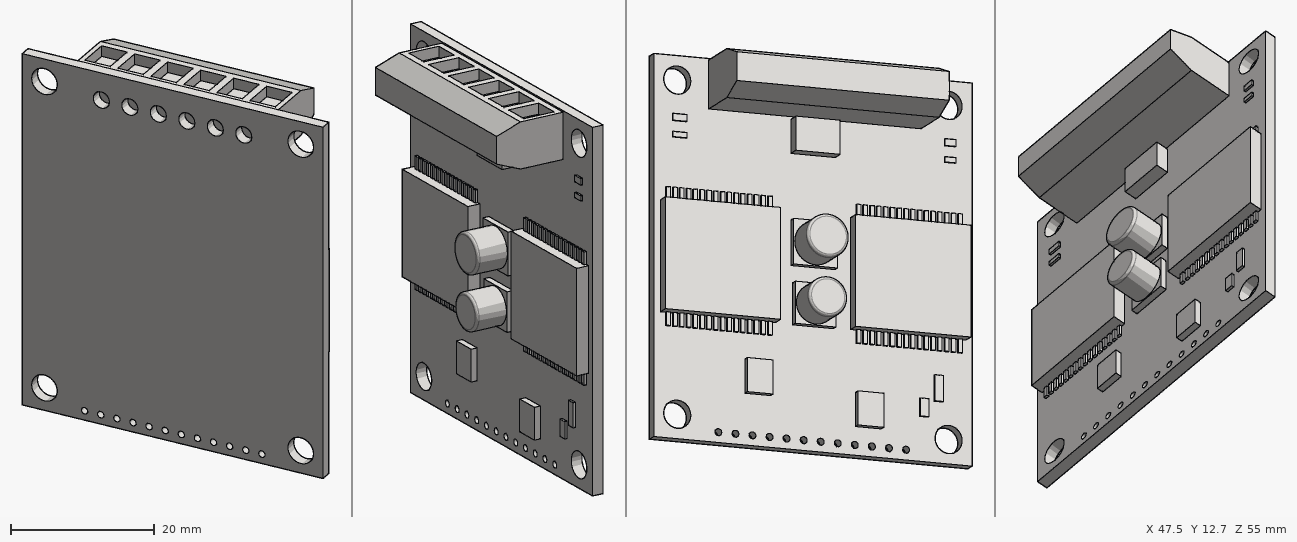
import cadquery as cq


BOARD_WIDTH = 47.5
BOARD_HEIGHT = 55.0
BOARD_THICKNESS = 1.75

MOUNT_HOLE_DIAMETER = 4.0
MOUNT_HOLE_X = 20.25
MOUNT_HOLE_Z = 24.0
SCREW_PIN_COUNT = 6
SCREW_PIN_DIAMETER = 2.55
SCREW_PIN_ROW = 22.5
SCREW_PIN_Z = 23.25
HEADER_COUNT = 12
HEADER_DIAMETER = 1.0
HEADER_ROW = 28.0
HEADER_CENTER_X = 0.1
HEADER_Z = -26.0

TOTAL_DEPTH = 12.7
TERMINAL_WIDTH = 31.7
TERMINAL_CENTER_X = -0.3
TERMINAL_HEIGHT = 7.05
TERMINAL_TOP_GAP = 0.2
TERMINAL_TOP = BOARD_HEIGHT / 2 - TERMINAL_TOP_GAP
TERMINAL_BOTTOM = TERMINAL_TOP - TERMINAL_HEIGHT
TAPER_DEPTH = 3.9
TAPER_TOP_DROP = 1.4
TAPER_BOTTOM_RISE = 1.55
WIRE_POCKET_WIDTH = 4.0
WIRE_POCKET_DEPTH = 1.65
WIRE_POCKET_THICKNESS = 4.95
WIRE_POCKET_ROW = 26.05
WIRE_POCKET_LIFT = 1.0

CHIP_WIDTH = 17.15
CHIP_LENGTH = 16.05
CHIP_THICKNESS = 2.0
CHIP_OUTER_X = 22.75
CHIP_CENTER_Z = -1.5
LEAD_COUNT = 16
LEAD_WIDTH = 0.6
LEAD_SPAN = 19.9
LEAD_THICKNESS = 0.4
LEAD_LEFT_MARGIN = 0.6
LEAD_RIGHT_MARGIN = 0.75

CAPACITOR_HEIGHT = 5.9
CAPACITOR_ROUNDING = 0.4
LARGE_CAPACITOR_DIAMETER = 6.2
LARGE_CAPACITOR_Z = 2.15
SMALL_CAPACITOR_DIAMETER = 5.7
SMALL_CAPACITOR_Z = -6.6
FOOT_MARGIN = 0.15
FOOT_THICKNESS = 1.0

REGULATOR_WIDTH = 6.6
REGULATOR_BOTTOM = 14.95
REGULATOR_TOP = 19.85
RESISTOR_THICKNESS = 0.3
LEFT_RESISTOR_X = -20.4
LEFT_RESISTOR_WIDTH = 1.6
RIGHT_RESISTOR_X = 19.95
RIGHT_RESISTOR_WIDTH = 2.05
RESISTOR_ROWS = [(15.75, 16.5), (18.1, 19.1)]

LOGIC_CHIP_WIDTH = 3.85
LOGIC_CHIP_LENGTH = 4.9
LOGIC_CHIP_THICKNESS = 1.0
LEFT_LOGIC_X = -8.25
LEFT_LOGIC_BOTTOM = -23.4
RIGHT_LOGIC_X = 8.25
RIGHT_LOGIC_BOTTOM = -20.1
STRIP_WIDTH = 1.25
STRIP_THICKNESS = 0.4
OUTER_STRIP_X = -18.7
OUTER_STRIP_BOTTOM = -18.7
OUTER_STRIP_TOP = -14.95
INNER_STRIP_X = -16.5
INNER_STRIP_BOTTOM = -21.05
INNER_STRIP_TOP = -18.5


def row_positions(count, length, center):
    """X positions of evenly spaced items, first to last spanning the length."""
    pitch = length / (count - 1)
    return [center - length / 2 + i * pitch for i in range(count)]


def block(center_x, width, bottom, top, thickness):
    """Box standing on the component side of the board."""
    return (
        cq.Workplane("XY")
        .box(width, thickness, top - bottom, centered=(True, False, False))
        .translate((center_x, BOARD_THICKNESS, bottom))
    )


def board_holes(points, diameter):
    """Cylinders through the board thickness at (x, z) points."""
    return (
        cq.Workplane("XZ")
        .pushPoints(points)
        .circle(diameter / 2)
        .extrude(-BOARD_THICKNESS)
    )


def make_board():
    board = cq.Workplane("XY").box(
        BOARD_WIDTH, BOARD_THICKNESS, BOARD_HEIGHT, centered=(True, False, True)
    )
    mounts = [(x, z) for x in (-MOUNT_HOLE_X, MOUNT_HOLE_X) for z in (-MOUNT_HOLE_Z, MOUNT_HOLE_Z)]
    screw_pins = [(x, SCREW_PIN_Z) for x in row_positions(SCREW_PIN_COUNT, SCREW_PIN_ROW, 0)]
    header = [(x, HEADER_Z) for x in row_positions(HEADER_COUNT, HEADER_ROW, HEADER_CENTER_X)]
    board = board.cut(board_holes(mounts, MOUNT_HOLE_DIAMETER))
    board = board.cut(board_holes(screw_pins, SCREW_PIN_DIAMETER))
    return board.cut(board_holes(header, HEADER_DIAMETER))


def make_terminal():
    """Tapered block with one open-topped wire pocket per screw."""
    taper_start = TOTAL_DEPTH - TAPER_DEPTH
    profile = [
        (BOARD_THICKNESS, TERMINAL_BOTTOM),
        (taper_start, TERMINAL_BOTTOM),
        (TOTAL_DEPTH, TERMINAL_BOTTOM + TAPER_BOTTOM_RISE),
        (TOTAL_DEPTH, TERMINAL_TOP - TAPER_TOP_DROP),
        (taper_start, TERMINAL_TOP),
        (BOARD_THICKNESS, TERMINAL_TOP),
    ]
    body = (
        cq.Workplane("YZ")
        .polyline(profile)
        .close()
        .extrude(TERMINAL_WIDTH / 2, both=True)
        .translate((TERMINAL_CENTER_X, 0, 0))
    )
    pocket_y = BOARD_THICKNESS + WIRE_POCKET_LIFT + WIRE_POCKET_THICKNESS / 2
    pocket_xs = row_positions(SCREW_PIN_COUNT, WIRE_POCKET_ROW, TERMINAL_CENTER_X)
    pockets = (
        cq.Workplane("XY", origin=(0, 0, TERMINAL_TOP))
        .pushPoints([(x, pocket_y) for x in pocket_xs])
        .rect(WIRE_POCKET_WIDTH, WIRE_POCKET_THICKNESS)
        .extrude(-WIRE_POCKET_DEPTH)
    )
    return body.cut(pockets)


def make_driver_chip(center_x):
    """Chip body crossed by lead strips that show above and below it."""
    half_length = CHIP_LENGTH / 2
    half_span = LEAD_SPAN / 2
    chip = block(
        center_x, CHIP_WIDTH, CHIP_CENTER_Z - half_length, CHIP_CENTER_Z + half_length, CHIP_THICKNESS
    )
    lead_row = CHIP_WIDTH - LEAD_LEFT_MARGIN - LEAD_RIGHT_MARGIN - LEAD_WIDTH
    row_center = center_x + (LEAD_LEFT_MARGIN - LEAD_RIGHT_MARGIN) / 2
    for x in row_positions(LEAD_COUNT, lead_row, row_center):
        lead = block(x, LEAD_WIDTH, CHIP_CENTER_Z - half_span, CHIP_CENTER_Z + half_span, LEAD_THICKNESS)
        chip = chip.union(lead)
    return chip


def make_capacitor(diameter, center_z):
    """Round can with a softened end, on a square foot."""
    half_foot = diameter / 2 + FOOT_MARGIN
    foot = block(0, 2 * half_foot, center_z - half_foot, center_z + half_foot, FOOT_THICKNESS)
    can = (
        cq.Workplane("XZ", origin=(0, BOARD_THICKNESS, center_z))
        .circle(diameter / 2)
        .extrude(-CAPACITOR_HEIGHT)
        .faces(">Y")
        .edges()
        .fillet(CAPACITOR_ROUNDING)
    )
    return foot.union(can)


def make_small_parts():
    """Regulator, resistors, logic chips and flat strips, all plain blocks."""
    parts = [block(0, REGULATOR_WIDTH, REGULATOR_BOTTOM, REGULATOR_TOP, CHIP_THICKNESS)]
    for bottom, top in RESISTOR_ROWS:
        parts.append(block(LEFT_RESISTOR_X, LEFT_RESISTOR_WIDTH, bottom, top, RESISTOR_THICKNESS))
        parts.append(block(RIGHT_RESISTOR_X, RIGHT_RESISTOR_WIDTH, bottom, top, RESISTOR_THICKNESS))
    for x, bottom in ((LEFT_LOGIC_X, LEFT_LOGIC_BOTTOM), (RIGHT_LOGIC_X, RIGHT_LOGIC_BOTTOM)):
        parts.append(block(x, LOGIC_CHIP_WIDTH, bottom, bottom + LOGIC_CHIP_LENGTH, LOGIC_CHIP_THICKNESS))
    parts.append(block(OUTER_STRIP_X, STRIP_WIDTH, OUTER_STRIP_BOTTOM, OUTER_STRIP_TOP, STRIP_THICKNESS))
    parts.append(block(INNER_STRIP_X, STRIP_WIDTH, INNER_STRIP_BOTTOM, INNER_STRIP_TOP, STRIP_THICKNESS))
    return parts


chip_x = CHIP_OUTER_X - CHIP_WIDTH / 2

result = make_board().union(make_terminal())
for side in (-1, 1):
    result = result.union(make_driver_chip(side * chip_x))
result = result.union(make_capacitor(LARGE_CAPACITOR_DIAMETER, LARGE_CAPACITOR_Z))
result = result.union(make_capacitor(SMALL_CAPACITOR_DIAMETER, SMALL_CAPACITOR_Z))
for part in make_small_parts():
    result = result.union(part)